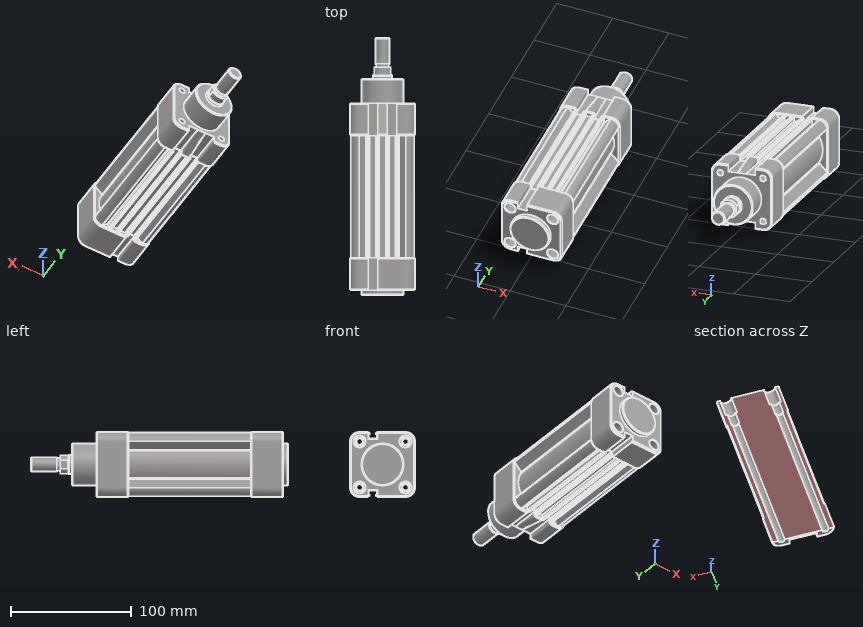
import cadquery as cq


cap_length = 27.0
barrel_length = 101.0
front_boss_length = 20.0
rear_boss_length = 4.0
front_cap_back = -cap_length
rear_cap_front = front_cap_back - barrel_length
rear_face = rear_cap_front - cap_length

cap_half = 27.0
cap_corner_radius = 8.0
cap_chamfer = 1.0
boss_diameter = 35.0
front_boss_chamfer = 0.8
rear_boss_chamfer = 0.7

barrel_half = 26.5
barrel_corner_radius = 8.0
tube_radius = 22.3
clearance = 1.0
recess_floor = 19.3
recess_half_width = 12.2
groove_floor = 20.8
groove_inner = 13.8
middle_groove_root = 19.0

rail_offset = 8.0
rail_half_width = 5.15
rail_chamfer = 1.15
slot_opening = 5.2
slot_width = 6.6
slot_floor = 21.6
lip_thickness = 1.6
lip_chamfer = 0.6

channel_half_width = 4.0
channel_floor = 21.0
channel_rounding = 1.1
rib_root_depth = 3.0

hole_offset = 19.0
counterbore_diameter = 9.5
counterbore_chamfer = 0.3
counterbore_depth = 16.0
screw_hole_diameter = 6.5
tie_hole_diameter = 5.2

rod_diameter = 16.0
rod_reach = 34.0
thread_diameter = 12.0
thread_length = 21.6
thread_chamfer = 0.8
undercut_diameter = 10.6
undercut_edge_diameter = 11.2
undercut_length = 2.6
neck_diameter = 15.6
neck_length = 6.9
shoulder_length = 0.5
flat_size = 13.9
flat_length = 6.4
rod_tip = front_boss_length + rod_reach
thread_start = rod_tip - thread_length
neck_end = thread_start - undercut_length
shoulder = neck_end - neck_length
flat_end = neck_end - flat_length
rod_end = front_cap_back


def section_plane(y):
    """Sketch plane across the axis: local x is X, local y is Z, extrusion runs to -Y."""
    return cq.Workplane("XZ", origin=(0, y, 0))


def disc(diameter, y_back, y_front):
    return section_plane(y_front).circle(diameter / 2).extrude(y_front - y_back)


def prism(points, y_back, y_front):
    return section_plane(y_front).polyline(points).close().extrude(y_front - y_back)


def box_between(x_low, x_high, z_low, z_high, y_back, y_front):
    corners = [(x_low, z_low), (x_high, z_low), (x_high, z_high), (x_low, z_high)]
    return prism(corners, y_back, y_front)


def rounded_block(half, corner_radius, y_back, y_front):
    block = section_plane(y_front).rect(2 * half, 2 * half).extrude(y_front - y_back)
    return block.edges("|Y").fillet(corner_radius)


def with_mirror(shape, plane):
    return shape.union(shape.mirror(plane))


def side_recess():
    """Trough on +X with sloping sides and the round tube wall standing in its middle."""
    outer = barrel_half + clearance
    outer_half_width = recess_half_width + outer - recess_floor
    trough = prism(
        [
            (outer, outer_half_width),
            (recess_floor, recess_half_width),
            (recess_floor, -recess_half_width),
            (outer, -outer_half_width),
        ],
        rear_cap_front,
        front_cap_back,
    )
    return trough.cut(disc(2 * tube_radius, rear_cap_front, front_cap_back))


def outer_groove():
    """Groove on top between the +X corner and the rail beside it."""
    top = barrel_half + clearance
    rail_side = rail_offset + rail_half_width
    chamfer_foot = barrel_half - rail_chamfer
    return prism(
        [
            (groove_inner + top - groove_floor, top),
            (groove_inner, groove_floor),
            (rail_side, groove_floor),
            (rail_side, chamfer_foot),
            (rail_side - (top - chamfer_foot), top),
        ],
        rear_cap_front,
        front_cap_back,
    )


def middle_groove():
    """Groove on top between the two rails, with the round tube wall as its floor."""
    top = barrel_half + clearance
    rail_side = rail_offset - rail_half_width
    chamfer_foot = barrel_half - rail_chamfer
    mouth = rail_side + top - chamfer_foot
    groove = prism(
        [
            (-mouth, top),
            (-rail_side, chamfer_foot),
            (-rail_side, middle_groove_root),
            (rail_side, middle_groove_root),
            (rail_side, chamfer_foot),
            (mouth, top),
        ],
        rear_cap_front,
        front_cap_back,
    )
    return groove.cut(disc(2 * tube_radius, rear_cap_front, front_cap_back))


def sensor_slot():
    """T-slot in the rail on the +X side of the top."""
    lip_bottom = barrel_half - lip_thickness
    top = barrel_half + clearance
    chamfer_foot = barrel_half - lip_chamfer
    left = rail_offset - slot_opening / 2
    right = rail_offset + slot_opening / 2
    flare = top - chamfer_foot
    opening = prism(
        [
            (left - flare, top),
            (left, chamfer_foot),
            (left, slot_floor),
            (right, slot_floor),
            (right, chamfer_foot),
            (right + flare, top),
        ],
        rear_cap_front,
        front_cap_back,
    )
    chamber = box_between(
        rail_offset - slot_width / 2,
        rail_offset + slot_width / 2,
        slot_floor,
        lip_bottom,
        rear_cap_front,
        front_cap_back,
    )
    return opening.union(chamber)


def make_barrel():
    barrel = rounded_block(barrel_half, barrel_corner_radius, rear_cap_front, front_cap_back)
    barrel = barrel.cut(with_mirror(side_recess(), "YZ"))
    for cutter in (outer_groove(), sensor_slot()):
        barrel = barrel.cut(with_mirror(with_mirror(cutter, "YZ"), "XY"))
    return barrel.cut(with_mirror(middle_groove(), "XY"))


def make_cap(y_back):
    cap = rounded_block(cap_half, cap_corner_radius, y_back, y_back + cap_length)
    return cap.faces("<Y or >Y").chamfer(cap_chamfer)


def channel_flare(side):
    """Cutter that rounds the upper edge of a channel wall at X = side, on the wall's -X side."""
    far = side - channel_rounding
    low = cap_half - channel_rounding
    corner = box_between(far, side, low, cap_half, rear_face, 0)
    round_edge = section_plane(0).center(far, low).circle(channel_rounding).extrude(-rear_face)
    return corner.cut(round_edge)


def channel(x_left, x_right):
    """Channel across the top of a cap, with its -X upper edge rounded."""
    top = cap_half + clearance
    trough = box_between(x_left, x_right, channel_floor, top, rear_face, 0)
    return trough.union(channel_flare(x_left))


def make_rear_cap():
    """Rear cap: one channel at the top and one at the bottom, both on the -X side."""
    rear_channel = channel(-rail_offset - channel_half_width, -rail_offset + channel_half_width)
    boss = disc(boss_diameter, rear_face - rear_boss_length, rear_face)
    boss = boss.faces("<Y").chamfer(rear_boss_chamfer)
    return make_cap(rear_face).cut(with_mirror(rear_channel, "XY")).union(boss)


def channel_rib():
    """Wedge in the wide channel: as high as the cap at the back, level with the floor in front."""
    half_width = rail_offset - channel_half_width
    root = channel_floor - rib_root_depth
    profile = [
        (front_cap_back, root),
        (front_cap_back, cap_half),
        (0, channel_floor),
        (0, root),
    ]
    rib = cq.Workplane("YZ").polyline(profile).close().extrude(half_width, both=True)
    rib = rib.edges("not (|X or |Y or |Z)").fillet(channel_rounding)
    return rib.edges(">Z and |X").chamfer(cap_chamfer)


def make_front_cap():
    boss = disc(boss_diameter, 0, front_boss_length)
    boss = boss.faces(">Y").chamfer(front_boss_chamfer)
    half_width = rail_offset + channel_half_width
    wide_channel = with_mirror(channel(-half_width, half_width), "YZ")
    cap = make_cap(front_cap_back).cut(with_mirror(wide_channel, "XY"))
    cap = cap.union(with_mirror(channel_rib(), "XY"))
    return cap.union(boss)


def fixing_hole():
    """Stepped hole along the whole housing, opening in a counterbore on the rear face."""
    counterbore_end = rear_face + counterbore_depth
    hole = disc(tie_hole_diameter, rear_face, 0)
    hole = hole.union(disc(screw_hole_diameter, rear_face, rear_cap_front))
    hole = hole.union(disc(counterbore_diameter, rear_face, counterbore_end))
    mouth_diameter = counterbore_diameter + 2 * counterbore_chamfer
    mouth = disc(mouth_diameter, rear_face - clearance, rear_face + counterbore_chamfer)
    mouth = mouth.faces(">Y").chamfer(counterbore_chamfer)
    return hole.union(mouth)


def make_housing():
    housing = make_barrel().union(make_rear_cap()).union(make_front_cap())
    for x in (-hole_offset, hole_offset):
        for z in (-hole_offset, hole_offset):
            housing = housing.cut(fixing_hole().translate((x, 0, z)))
    return housing.cut(disc(rod_diameter, rod_end, front_boss_length))


def make_rod():
    """Piston rod with wrench flats facing +X and -X, an undercut and a plain thread cylinder."""
    profile = (
        cq.Workplane("XY")
        .moveTo(0, rod_end)
        .lineTo(rod_diameter / 2, rod_end)
        .lineTo(rod_diameter / 2, shoulder - shoulder_length)
        .lineTo(neck_diameter / 2, shoulder)
        .lineTo(neck_diameter / 2, neck_end)
        .lineTo(undercut_edge_diameter / 2, neck_end)
        .threePointArc(
            (undercut_diameter / 2, neck_end + undercut_length / 2),
            (undercut_edge_diameter / 2, thread_start),
        )
        .lineTo(thread_diameter / 2, thread_start)
        .lineTo(thread_diameter / 2, rod_tip - thread_chamfer)
        .lineTo(thread_diameter / 2 - thread_chamfer, rod_tip)
        .lineTo(0, rod_tip)
        .close()
    )
    rod = profile.revolve(360, (0, 0, 0), (0, 1, 0))
    flat = box_between(flat_size / 2, rod_diameter, -rod_diameter, rod_diameter, flat_end, neck_end)
    return rod.cut(with_mirror(flat, "YZ"))


housing = make_housing()
rod = make_rod()

result = cq.Compound.makeCompound([housing.val(), rod.val()])